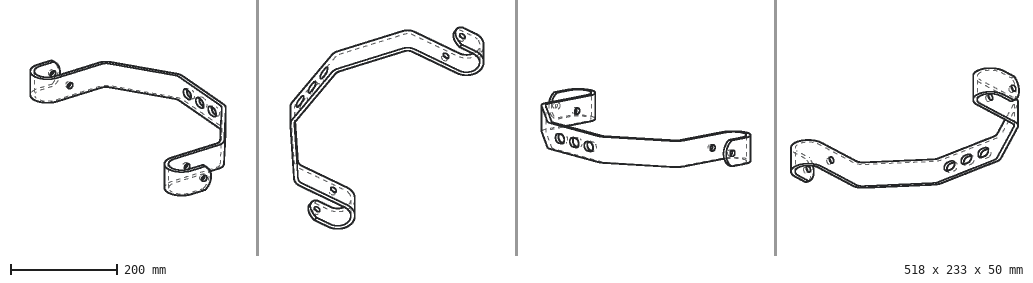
import cadquery as cq
import math

length = 518.0
depth = 233.0
strip_height = 50.0
thickness = 8.0

hook_outer_radius = 32.5
bend_inner_radius = 16.0
hook_tip_y = 77.5
tip_radius = 29.5

back_corner_x = 77.0
side_corner_y = 145.0

pin_diameter = 12.0
pin_y = 62.0
slot_length = 25.5
slot_height = 17.5
slot_pitch = 42.0
slot_count = 3

half_thickness = thickness / 2
hook_radius = hook_outer_radius - half_thickness
bend_radius = bend_inner_radius + half_thickness
hook_center_x = -length / 2 + hook_outer_radius
tip_x = hook_center_x - hook_radius
leg_x = hook_center_x + hook_radius
back_y = depth - half_thickness
leg_outer_x = -leg_x + half_thickness
slope_angle = math.atan2(depth - side_corner_y, leg_outer_x - back_corner_x)
back_turn = slope_angle
side_turn = math.pi / 2 - slope_angle
mid_back_x = -back_corner_x + half_thickness * math.tan(back_turn / 2)
mid_side_y = side_corner_y - half_thickness * math.tan(side_turn / 2)


def along_slope(start, distance):
    """Point a given distance up the sloping side from start."""
    return (
        start[0] + distance * math.cos(slope_angle),
        start[1] + distance * math.sin(slope_angle),
    )


def half_strip():
    """Left half of the strip, from the hook tip to the middle of the back."""
    side_setback = bend_radius * math.tan(side_turn / 2)
    back_setback = bend_radius * math.tan(back_turn / 2)
    slope_start = along_slope((leg_x, mid_side_y), side_setback)
    slope_end = along_slope((mid_back_x, back_y), -back_setback)
    path = (
        cq.Workplane("XY")
        .moveTo(tip_x, hook_tip_y)
        .lineTo(tip_x, hook_outer_radius)
        .threePointArc((hook_center_x, half_thickness), (leg_x, hook_outer_radius))
        .lineTo(leg_x, mid_side_y - side_setback)
        .tangentArcPoint(slope_start, relative=False)
        .lineTo(*slope_end)
        .tangentArcPoint((mid_back_x + back_setback, back_y), relative=False)
        .lineTo(0, back_y)
    )
    section = cq.Workplane("XZ", origin=(tip_x, hook_tip_y, 0)).rect(thickness, strip_height)
    return section.sweep(path)


def tip_waste():
    """Material outside the rounded hook tip, for the left hook."""
    half_height = strip_height / 2
    shoulder_y = hook_tip_y - tip_radius + math.sqrt(tip_radius**2 - half_height**2)
    return (
        cq.Workplane("YZ", origin=(tip_x - thickness, 0, 0))
        .moveTo(shoulder_y, -half_height)
        .threePointArc((hook_tip_y, 0), (shoulder_y, half_height))
        .lineTo(shoulder_y, strip_height)
        .lineTo(hook_tip_y + thickness, strip_height)
        .lineTo(hook_tip_y + thickness, -strip_height)
        .lineTo(shoulder_y, -strip_height)
        .close()
        .extrude(2 * thickness)
    )


def pin_hole():
    """Pin hole through both hooks and both legs."""
    return (
        cq.Workplane("YZ", origin=(-length / 2, 0, 0))
        .center(pin_y, 0)
        .circle(pin_diameter / 2)
        .extrude(length)
    )


def back_slots():
    """Row of mounting slots through the back."""
    return (
        cq.Workplane("XZ", origin=(0, depth, 0))
        .rarray(slot_pitch, 5, slot_count, 1)
        .slot2D(slot_length, slot_height)
        .extrude(2 * thickness)
    )


left_half = half_strip().cut(tip_waste())
strip = left_half.union(left_half.mirror("YZ")).clean()
result = strip.cut(pin_hole()).cut(back_slots())